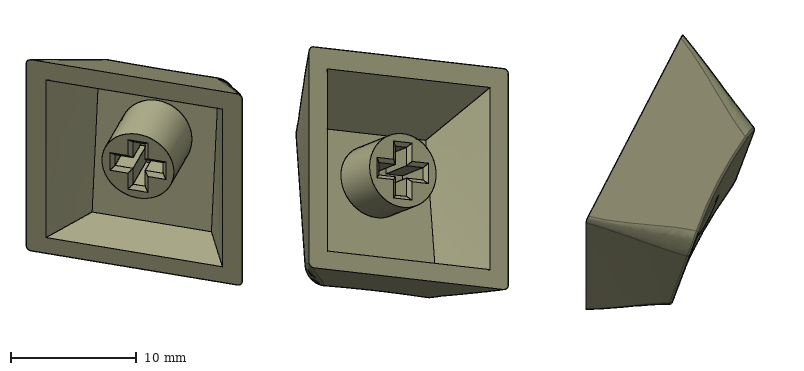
import cadquery as cq
import math

SIZE = 18.0
HALF = SIZE / 2

FACE_HALF_WIDTH = 6.03
FACE_TOP_Z = 13.95
FACE_TOP_Y = 8.05
FACE_BOTTOM_Y = 6.03
RIM_CORNER_RADIUS = 0.43
FACE_CORNER_RADIUS = 1.67
LOFT_STEPS = 3

DISH_RADIUS = 36.0
DISH_CENTER_DEPTH = 0.58
FACE_EDGE_FILLET = 0.29

POCKET_HALF_WIDTH = 7.35
POCKET_BOTTOM_Z = 1.5
POCKET_TOP_Z = 16.33
FLOOR_HALF_WIDTH = 4.97
FLOOR_TOP_Z = 13.01
FLOOR_TOP_Y = 6.4
FLOOR_BOTTOM_Y = 4.72

STEM_DIAMETER = 6.0
STEM_START_Y = 0.99
STEM_END_Y = 6.48
CROSS_LENGTH = 4.65
CROSS_ARM_WIDTH = 1.65
CROSS_INSET = 0.32
LEAD_IN_DEPTH = 0.32
SOCKET_DEPTH = 3.78


def blend(start, end, fraction):
    return start + (end - start) * fraction


def tilted_plane(bottom_y, bottom_z, top_y, top_z):
    """Plane centred between a bottom and a top edge, local x along X, local y up the slope."""
    origin = (0, (bottom_y + top_y) / 2, (bottom_z + top_z) / 2)
    normal = (0, bottom_z - top_z, top_y - bottom_y)
    return cq.Plane(origin=origin, xDir=(1, 0, 0), normal=normal)


def tilted_rectangle(half_width, bottom, top, corner_radius=0):
    """Wire of a rectangle between two (y, z) edges, with optional round corners."""
    length = math.dist(bottom, top)
    wire = cq.Workplane(tilted_plane(*bottom, *top)).rect(2 * half_width, length).wire().val()
    if corner_radius:
        wire = wire.fillet2D(corner_radius, wire.Vertices())
    return wire


def make_shell():
    sections = []
    for step in range(LOFT_STEPS + 1):
        t = step / LOFT_STEPS
        ease = t * t * (3 - 2 * t)
        sections.append(
            tilted_rectangle(
                blend(HALF, FACE_HALF_WIDTH, t),
                (FACE_BOTTOM_Y * t, -HALF),
                (FACE_TOP_Y * t, blend(HALF, FACE_TOP_Z - HALF, t)),
                blend(RIM_CORNER_RADIUS, FACE_CORNER_RADIUS, ease),
            )
        )
    return cq.Workplane(cq.Solid.makeLoft(sections))


def make_dish():
    """Cylinder running along the slope of the key face."""
    face = tilted_plane(FACE_BOTTOM_Y, -HALF, FACE_TOP_Y, FACE_TOP_Z - HALF)
    slope = face.yDir
    center = face.origin - face.zDir * (DISH_RADIUS - DISH_CENTER_DEPTH)
    start = center - slope * SIZE
    return cq.Workplane(cq.Solid.makeCylinder(DISH_RADIUS, 2 * SIZE, start, slope))


def make_pocket():
    opening = tilted_rectangle(
        POCKET_HALF_WIDTH,
        (0, POCKET_BOTTOM_Z - HALF),
        (0, POCKET_TOP_Z - HALF),
    )
    floor = tilted_rectangle(
        FLOOR_HALF_WIDTH,
        (FLOOR_BOTTOM_Y, POCKET_BOTTOM_Z - HALF),
        (FLOOR_TOP_Y, FLOOR_TOP_Z - HALF),
    )
    return cq.Workplane(cq.Solid.makeLoft([opening, floor], True))


def make_stem():
    plane = cq.Workplane("XZ", origin=(0, STEM_START_Y, 0))
    return plane.circle(STEM_DIAMETER / 2).extrude(STEM_START_Y - STEM_END_Y)


def make_cross(inset):
    """Cross-shaped face, shrunk inward on every side by the inset."""
    half_length = CROSS_LENGTH / 2 - inset
    half_width = CROSS_ARM_WIDTH / 2 - inset
    quarter = [(half_length, half_width), (half_width, half_width), (half_width, half_length)]
    points = []
    for turn in range(4):
        angle = turn * math.pi / 2
        for x, z in quarter:
            points.append(
                (x * math.cos(angle) - z * math.sin(angle), x * math.sin(angle) + z * math.cos(angle))
            )
    plane = cq.Workplane("XZ", origin=(0, STEM_START_Y, 0))
    return plane.polyline(points).close()


def make_socket():
    """Straight cross-shaped hole with a sloped lead-in at its mouth."""
    mouth = make_cross(0).wire().val()
    throat = make_cross(CROSS_INSET).wire().val().moved(cq.Location(cq.Vector(0, LEAD_IN_DEPTH, 0)))
    lead_in = cq.Workplane(cq.Solid.makeLoft([mouth, throat], True))
    return lead_in.union(make_cross(CROSS_INSET).extrude(-SOCKET_DEPTH))


shell = make_shell().cut(make_dish())
shell = shell.faces("%CYLINDER").edges().fillet(FACE_EDGE_FILLET)
result = shell.cut(make_pocket()).union(make_stem()).cut(make_socket())